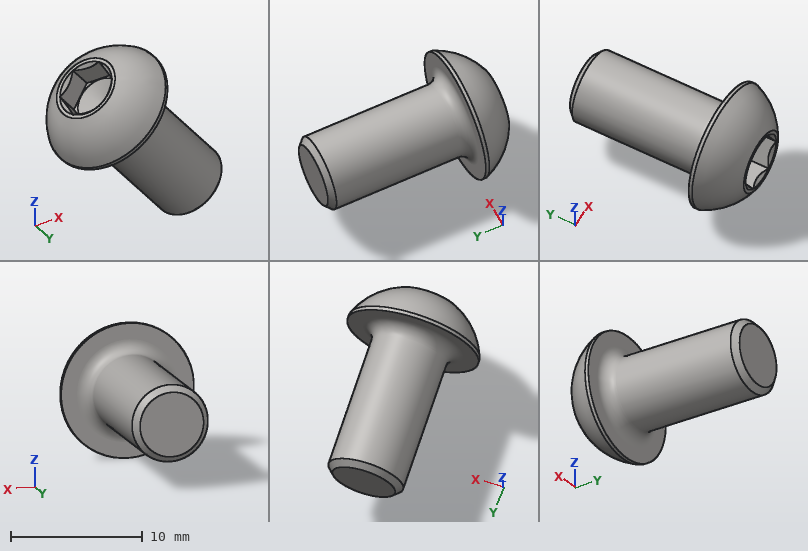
import cadquery as cq
import math

total_length = 15.3
head_height = 3.3
head_diameter = 10.5
shank_diameter = 6.0

rim_thickness = 0.3
crown_diameter = 5.2
neck_radius = 1.0
tip_chamfer = 0.49

socket_width = 4.01
socket_depth = 2.03
lead_in_diameter = 4.6
drill_diameter = 3.92
drill_point_angle = 120.0
lead_in_angle = 90.0

head_radius = head_diameter / 2
shank_radius = shank_diameter / 2
crown_radius = crown_diameter / 2
socket_corner_radius = socket_width / math.sqrt(3)
crown_y = -total_length / 2
under_head_y = crown_y + head_height
rim_y = under_head_y - rim_thickness
tip_y = total_length / 2


def make_body():
    """Revolve the half outline of head, neck and shank about Y."""
    dome_rise = rim_y - crown_y
    crown_to_center = (head_radius**2 - crown_radius**2 + dome_rise**2) / (2 * dome_rise)
    dome_center_y = crown_y + crown_to_center
    dome_radius = math.hypot(crown_radius, crown_to_center)
    crown_angle = math.atan2(crown_y - dome_center_y, crown_radius)
    rim_angle = math.atan2(rim_y - dome_center_y, head_radius)
    middle_angle = (crown_angle + rim_angle) / 2
    dome_middle = (
        dome_radius * math.cos(middle_angle),
        dome_center_y + dome_radius * math.sin(middle_angle),
    )
    neck_offset = neck_radius * (1 - math.sqrt(0.5))
    neck_middle = (shank_radius + neck_offset, under_head_y + neck_offset)
    outline = (
        cq.Workplane("XY")
        .moveTo(0, crown_y)
        .lineTo(crown_radius, crown_y)
        .threePointArc(dome_middle, (head_radius, rim_y))
        .lineTo(head_radius, under_head_y)
        .lineTo(shank_radius + neck_radius, under_head_y)
        .threePointArc(neck_middle, (shank_radius, under_head_y + neck_radius))
        .lineTo(shank_radius, tip_y - tip_chamfer)
        .lineTo(shank_radius - tip_chamfer, tip_y)
        .lineTo(0, tip_y)
        .close()
    )
    return outline.revolve(360, (0, 0, 0), (0, 1, 0))


def make_cone(radius, base_y, point_angle):
    """Cone on the screw axis, narrowing from base_y towards +Y."""
    height = radius / math.tan(math.radians(point_angle / 2))
    return cq.Workplane(
        cq.Solid.makeCone(radius, 0, height, cq.Vector(0, base_y, 0), cq.Vector(0, 1, 0))
    )


def make_socket():
    """Hexagon with corners on X, a conical lead-in and a drill-point bottom."""
    bottom_y = crown_y + socket_depth
    hexagon = (
        cq.Workplane("XZ", origin=(0, crown_y, 0))
        .polygon(6, 2 * socket_corner_radius)
        .extrude(-socket_depth)
    )
    lead_in = make_cone(lead_in_diameter / 2, crown_y, lead_in_angle)
    drill_point = make_cone(drill_diameter / 2, bottom_y, drill_point_angle)
    return hexagon.union(lead_in).union(drill_point)


result = make_body().cut(make_socket())